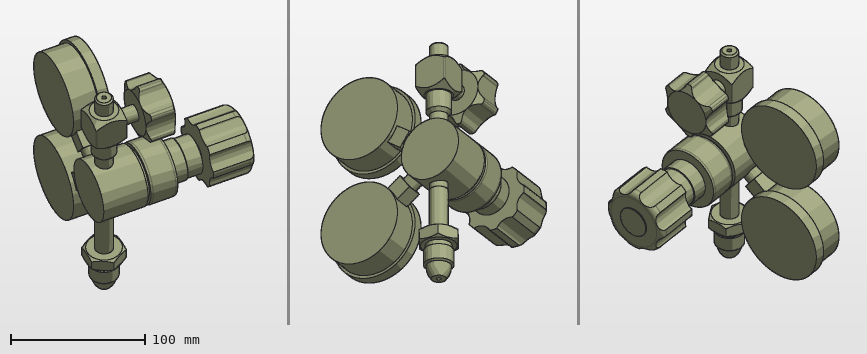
import cadquery as cq
import math

BORE_DIA = 3.4
LINE_TOP = 92.9
LINE_BOTTOM = -104.3
STUB_DIA = 14.0

BODY_DIA = 50.0
BODY_FRONT = -12.6
BODY_BACK = 24.3
BODY_GROOVE_DIA = 44.2
BONNET_START = 26.8
BONNET_END = 49.3
BONNET_CHAMFER_LENGTH = 1.8
BONNET_FACE_DIA = 49.3
COLLAR_DIA = 33.5
COLLAR_END = 61.7
SLEEVE_DIA = 31.5
SLEEVE_END = 74.5
SCREW_DIA = 15.5
KNOB_DIA = 54.0
KNOB_START = 77.7
KNOB_END = 113.4
KNOB_ROUNDING = 5.1
KNOB_LOBES = 8
KNOB_FLUTE_RADIUS = 11.2
KNOB_FLUTE_DEPTH = 3.7
KNOB_CAP_DIA = 24.5
KNOB_CAP_HEIGHT = 1.0

GAUGE_X = -63.0
GAUGE_Z = 44.2
GAUGE_CASE_DIA = 67.0
GAUGE_RIM_DIA = 71.8
GAUGE_FRONT = -10.6
GAUGE_RIM_START = 10.6
GAUGE_BACK = 19.3
GAUGE_SQUARE = 14.2
GAUGE_SQUARE_END = 31.0
GAUGE_STEM_DIA = 13.2

VALVE_Z = 65.3
VALVE_WIDTH = 25.6
VALVE_HEIGHT = 28.8
VALVE_EDGE_ROUNDING = 0.5
VALVE_CONE_ANGLE = 38
VALVE_FLAT_DIA = 22.0
VALVE_NECK_DIA = 19.3
VALVE_NECK_CHAMFER_TOP = 36.7
VALVE_NECK_BOTTOM = 34.0
STUB_CHAMFER = 1.4
SPINDLE_DIA = 13.0
WHEEL_DIA = 50.0
WHEEL_FACE_DIA = 36.7
WHEEL_START = 25.8
WHEEL_END = 50.5
WHEEL_CHAMFER_LENGTH = 2.8
WHEEL_LOBES = 6
WHEEL_FLUTE_RADIUS = 14.2
WHEEL_FLUTE_DEPTH = 6.7
WHEEL_LOBE_ROUNDING = 2.2

TUBE_DIA = 14.4
TUBE_TOP = -29.5
NUT_TOP = -65.3
NUT_BOTTOM = -76.3
NUT_FLATS = 29.0
NUT_CONE_ANGLE = 30
NUT_FLAT_DIA = 27.5
NIPPLE_NECK_DIA = 20.3
NIPPLE_SHOULDER = -80.6
NIPPLE_DIA = 22.9
NIPPLE_CHAMFER_TOP = -92.7
NIPPLE_CHAMFER_BOTTOM = -93.9
NOSE_DIA = 19.3
NOSE_TIP_DIA = 11.5
NOSE_BULGE = 1.0


def cylinder_y(diameter, start, end, x=0.0, z=0.0):
    """Cylinder along Y from start to end."""
    plane = cq.Plane(origin=(x, start, z), xDir=(1, 0, 0), normal=(0, 1, 0))
    return cq.Workplane(plane).circle(diameter / 2).extrude(end - start)


def chamfered_disc_y(diameter, face_dia, chamfer_length, start, end, z=0.0):
    """Disc along Y with a conical chamfer leading down to each end face."""
    profile = [
        (0, start),
        (face_dia / 2, start),
        (diameter / 2, start + chamfer_length),
        (diameter / 2, end - chamfer_length),
        (face_dia / 2, end),
        (0, end),
    ]
    outline = cq.Workplane("XY", origin=(0, 0, z)).polyline(profile).close()
    return outline.revolve(360, (0, 0), (0, 1))


def cylinder_z(diameter, bottom, top):
    """Cylinder on the gas line from bottom to top."""
    return cq.Workplane("XY", origin=(0, 0, bottom)).circle(diameter / 2).extrude(top - bottom)


def cone_z(bottom_dia, bottom, top_dia, top):
    """Truncated cone on the gas line."""
    profile = [(0, bottom), (bottom_dia / 2, bottom), (top_dia / 2, top), (0, top)]
    return cq.Workplane("XZ").polyline(profile).close().revolve(360, (0, 0), (0, 1))


def double_cone_z(flat_dia, angle, bottom, top):
    """Envelope that chamfers a prism at both ends, leaving a flat circle on each end."""
    middle = (bottom + top) / 2
    middle_dia = flat_dia + (top - bottom) / math.tan(math.radians(angle))
    upper = cone_z(middle_dia, middle, flat_dia, top)
    return cone_z(flat_dia, bottom, middle_dia, middle).union(upper)


def flutes_y(count, outer_dia, flute_radius, flute_depth, start, end, first_angle, z=0.0):
    """Round grooves along Y, spaced evenly about a grip."""
    distance = outer_dia / 2 - flute_depth + flute_radius
    plane = cq.Plane(origin=(0, start, z), xDir=(1, 0, 0), normal=(0, 1, 0))
    grooves = cq.Workplane(plane).polarArray(distance, first_angle, 360, count)
    return grooves.circle(flute_radius).extrude(end - start)


def gas_bore():
    return cylinder_z(BORE_DIA, LINE_BOTTOM, LINE_TOP)


def body_block():
    """Main cylinder, to which the other bodies are fitted."""
    return cylinder_y(BODY_DIA, BODY_FRONT, BODY_BACK)


def bonnet():
    return chamfered_disc_y(BODY_DIA, BONNET_FACE_DIA, BONNET_CHAMFER_LENGTH, BONNET_START, BONNET_END)


def adjusting_knob():
    grip = cylinder_y(KNOB_DIA, KNOB_START, KNOB_END).faces(">Y").edges().fillet(KNOB_ROUNDING)
    flutes = flutes_y(KNOB_LOBES, KNOB_DIA, KNOB_FLUTE_RADIUS, KNOB_FLUTE_DEPTH,
                      KNOB_START, KNOB_END, 180 / KNOB_LOBES)
    cap = cylinder_y(KNOB_CAP_DIA, KNOB_END, KNOB_END + KNOB_CAP_HEIGHT)
    return grip.cut(flutes).union(cap)


def make_regulator():
    regulator = body_block()
    regulator = regulator.union(cylinder_y(BODY_GROOVE_DIA, BODY_BACK, BONNET_START))
    regulator = regulator.union(bonnet())
    regulator = regulator.union(cylinder_y(COLLAR_DIA, BONNET_END, COLLAR_END))
    regulator = regulator.union(cylinder_y(SLEEVE_DIA, COLLAR_END, SLEEVE_END))
    regulator = regulator.union(cylinder_y(SCREW_DIA, SLEEVE_END, KNOB_START))
    regulator = regulator.union(adjusting_knob())
    return regulator.cut(gas_bore())


def make_gauge(side):
    """Gauge with its shank aimed at the regulator axis; side is 1 above and -1 below."""
    center_z = side * GAUGE_Z
    gauge = cylinder_y(GAUGE_CASE_DIA, GAUGE_FRONT, GAUGE_RIM_START, GAUGE_X, center_z)
    gauge = gauge.union(cylinder_y(GAUGE_RIM_DIA, GAUGE_RIM_START, GAUGE_BACK, GAUGE_X, center_z))

    reach = math.hypot(GAUGE_X, GAUGE_Z)
    shank_plane = cq.Plane(origin=(0, 0, 0), xDir=(0, 1, 0), normal=(GAUGE_X, 0, center_z))
    shank = cq.Workplane(shank_plane).workplane(offset=GAUGE_SQUARE_END)
    shank = shank.rect(GAUGE_SQUARE, GAUGE_SQUARE).extrude(reach - GAUGE_SQUARE_END)
    stem = cq.Workplane(shank_plane).circle(GAUGE_STEM_DIA / 2).extrude(GAUGE_SQUARE_END)
    return gauge.union(shank).union(stem.cut(body_block()))


def valve_block():
    bottom = VALVE_Z - VALVE_HEIGHT / 2
    top = VALVE_Z + VALVE_HEIGHT / 2
    block = cq.Workplane("XY", origin=(0, 0, VALVE_Z)).box(VALVE_WIDTH, VALVE_WIDTH, VALVE_HEIGHT)
    block = block.edges("|Z").fillet(VALVE_EDGE_ROUNDING)
    return block.intersect(double_cone_z(VALVE_FLAT_DIA, VALVE_CONE_ANGLE, bottom, top))


def handwheel():
    envelope = chamfered_disc_y(WHEEL_DIA, WHEEL_FACE_DIA, WHEEL_CHAMFER_LENGTH,
                                WHEEL_START, WHEEL_END, VALVE_Z)
    flutes = flutes_y(WHEEL_LOBES, WHEEL_DIA, WHEEL_FLUTE_RADIUS, WHEEL_FLUTE_DEPTH,
                      WHEEL_START, WHEEL_END, 0, VALVE_Z)
    grip = cylinder_y(WHEEL_DIA, WHEEL_START, WHEEL_END, z=VALVE_Z).cut(flutes)
    grip = grip.edges("|Y").fillet(WHEEL_LOBE_ROUNDING)
    return grip.intersect(envelope)


def make_valve():
    outlet = cylinder_z(STUB_DIA, VALVE_Z, LINE_TOP).faces(">Z").chamfer(STUB_CHAMFER)
    valve = valve_block().union(outlet)
    valve = valve.union(cylinder_z(VALVE_NECK_DIA, VALVE_NECK_CHAMFER_TOP, VALVE_Z))
    valve = valve.union(cone_z(STUB_DIA, VALVE_NECK_BOTTOM, VALVE_NECK_DIA, VALVE_NECK_CHAMFER_TOP))
    valve = valve.union(cylinder_z(STUB_DIA, 0, VALVE_NECK_BOTTOM).cut(body_block()))
    valve = valve.union(cylinder_y(SPINDLE_DIA, 0, WHEEL_START, z=VALVE_Z))
    valve = valve.union(handwheel())
    return valve.cut(gas_bore())


def hex_nut():
    corner_dia = NUT_FLATS / math.cos(math.radians(30))
    prism = cq.Workplane("XY", origin=(0, 0, NUT_BOTTOM)).polygon(6, corner_dia)
    prism = prism.extrude(NUT_TOP - NUT_BOTTOM)
    return prism.intersect(double_cone_z(NUT_FLAT_DIA, NUT_CONE_ANGLE, NUT_BOTTOM, NUT_TOP))


def nose():
    """Bullet-shaped end of the nipple."""
    base = (NOSE_DIA / 2, NIPPLE_CHAMFER_BOTTOM)
    tip = (NOSE_TIP_DIA / 2, LINE_BOTTOM)
    profile = cq.Workplane("XZ").moveTo(0, NIPPLE_CHAMFER_BOTTOM).lineTo(*base)
    profile = profile.sagittaArc(tip, NOSE_BULGE).lineTo(0, LINE_BOTTOM).close()
    return profile.revolve(360, (0, 0), (0, 1))


def make_inlet():
    inlet = cylinder_z(STUB_DIA, TUBE_TOP, 0).cut(body_block())
    inlet = inlet.union(cylinder_z(TUBE_DIA, NUT_TOP, TUBE_TOP))
    inlet = inlet.union(hex_nut())
    inlet = inlet.union(cylinder_z(NIPPLE_NECK_DIA, NIPPLE_SHOULDER, NUT_BOTTOM))
    inlet = inlet.union(cylinder_z(NIPPLE_DIA, NIPPLE_CHAMFER_TOP, NIPPLE_SHOULDER))
    inlet = inlet.union(cone_z(NOSE_DIA, NIPPLE_CHAMFER_BOTTOM, NIPPLE_DIA, NIPPLE_CHAMFER_TOP))
    inlet = inlet.union(nose())
    return inlet.cut(gas_bore())


regulator = make_regulator()
gauges = [make_gauge(side) for side in (1, -1)]
valve = make_valve()
inlet = make_inlet()

result = cq.Compound.makeCompound([
    regulator.val(),
    *[gauge.val() for gauge in gauges],
    valve.val(),
    inlet.val(),
])